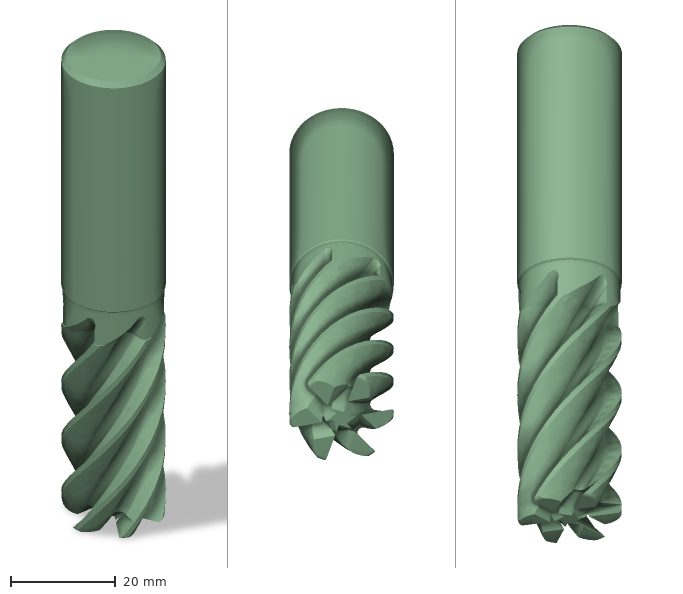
import cadquery as cq
import math


tool_radius = 10.0
total_length = 104.0
cutting_length = 44.0
neck_top = 52.0
neck_radius = 9.72
shank_chamfer = 1.0
corner_radius = 0.8

flute_count = 6
helix_angle = 40.0
joint_tip_angle = -90.0
pitch_angle = 360.0 / flute_count
lead = 2 * math.pi * tool_radius / math.tan(math.radians(helix_angle))
twist_angle = 360.0 * cutting_length / lead
end_tip_angle = joint_tip_angle - twist_angle

land_drop = 0.05

cutting_edge = (tool_radius, 0.0)
land_end = (tool_radius - land_drop, 7.5)
back_crown = (8.8, 18.5)
back_foot = (5.75, 37.5)
flute_bottom = (5.5, 48.0)
rake_foot = (7.1, 56.5)

runout_height = 7.15
runout_outward = 5.6
runout_clearance = 4.0

gash_height = 3.5
gash_width = 3.4
gash_inner_radius = 1.5
gash_slope = 3.2
gash_lean = gash_height * math.tan(math.radians(helix_angle))


def polar(section_point, turn):
    """XY position of a tooth section point, turned about the tool axis."""
    radius, angle = section_point
    direction = math.radians(angle + turn)
    return (radius * math.cos(direction), radius * math.sin(direction))


def add_flute(outline, turn):
    """Continue an outline from the land end over the tooth back and along the flute bottom."""
    return (
        outline.threePointArc(polar(back_crown, turn), polar(back_foot, turn))
        .threePointArc(polar(flute_bottom, turn), polar(rake_foot, turn))
    )


def tooth_section(first_tip_angle):
    """Closed outline of all teeth, starting at the given cutting edge."""
    outline = cq.Workplane("XY").moveTo(*polar(cutting_edge, first_tip_angle))
    for tooth in range(flute_count):
        turn = first_tip_angle + tooth * pitch_angle
        outline = add_flute(outline.lineTo(*polar(land_end, turn)), turn)
        if tooth < flute_count - 1:
            outline = outline.lineTo(*polar(cutting_edge, turn + pitch_angle))
    return outline.close()


def end_gash(turn):
    """Flat-roofed notch in front of one end cutting edge, leaning with the helix."""
    outline = (
        cq.Workplane("XY")
        .moveTo(gash_inner_radius, 0)
        .lineTo(tool_radius + gash_slope, 0)
        .lineTo(tool_radius + gash_slope, -gash_width)
        .lineTo(gash_inner_radius, -gash_width)
        .close()
    )
    sweep = cq.Vector(gash_slope, gash_lean, gash_height)
    gash = cq.Workplane(cq.Solid.extrudeLinear(outline.val(), [], sweep))
    return gash.rotate((0, 0, 0), (0, 0, 1), turn)


def build_cutting_body():
    """Twisted teeth with rounded corners and end gashes."""
    envelope = (
        cq.Workplane("XY")
        .circle(tool_radius)
        .extrude(cutting_length)
        .faces("<Z")
        .edges()
        .fillet(corner_radius)
    )
    body = tooth_section(end_tip_angle).twistExtrude(cutting_length, twist_angle)
    body = body.intersect(envelope)
    for tooth in range(flute_count):
        body = body.cut(end_gash(end_tip_angle + tooth * pitch_angle))
    return body


def flute_runout(turn):
    """Flute section swept outward along the rake face while it rises."""
    next_tip = polar(cutting_edge, turn + pitch_angle)
    rake_base = polar(rake_foot, turn)
    rake_length = math.dist(next_tip, rake_base)
    rake_x = (next_tip[0] - rake_base[0]) / rake_length
    rake_y = (next_tip[1] - rake_base[1]) / rake_length
    outer_rake = (
        next_tip[0] + rake_x * runout_clearance,
        next_tip[1] + rake_y * runout_clearance,
    )
    joint_plane = cq.Workplane("XY", origin=(0, 0, cutting_length))
    outline = (
        add_flute(joint_plane.moveTo(*polar(land_end, turn)), turn)
        .lineTo(*outer_rake)
        .lineTo(*polar((tool_radius + runout_clearance, land_end[1]), turn))
        .close()
    )
    sweep = cq.Vector(rake_x * runout_outward, rake_y * runout_outward, runout_height)
    return cq.Workplane(cq.Solid.extrudeLinear(outline.val(), [], sweep))


def build_shank():
    """Round shank with chamfered end, relieved neck and flute run-outs."""
    step = tool_radius - neck_radius
    shank = (
        cq.Workplane("XZ")
        .moveTo(0, cutting_length)
        .lineTo(neck_radius, cutting_length)
        .lineTo(neck_radius, neck_top - step)
        .lineTo(tool_radius, neck_top)
        .lineTo(tool_radius, total_length - shank_chamfer)
        .lineTo(tool_radius - shank_chamfer, total_length)
        .lineTo(0, total_length)
        .close()
        .revolve(360, (0, 0, 0), (0, 1, 0))
    )
    for tooth in range(flute_count):
        shank = shank.cut(flute_runout(joint_tip_angle + tooth * pitch_angle))
    return shank


cutting_body = build_cutting_body()
shank = build_shank()

result = cq.Compound.makeCompound([cutting_body.val(), shank.val()])